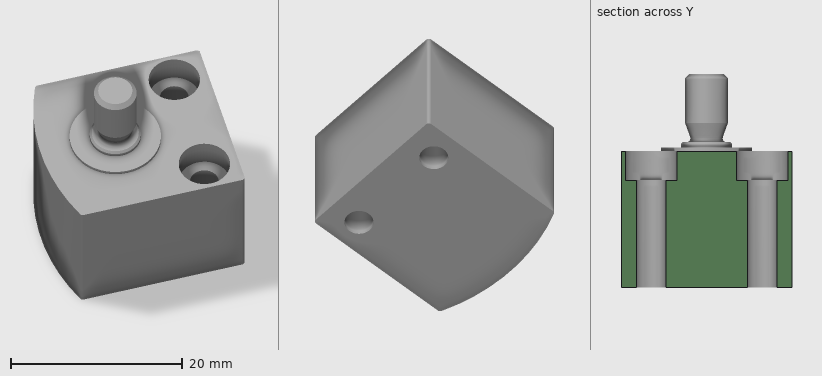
import cadquery as cq
import math

block_width = 20.0
block_length = 22.0
block_height = 16.0
front_to_stud = 9.0
front_radius = 25.0
corner_radius = 0.4

hole_diameter = 3.4
counterbore_diameter = 6.0
counterbore_depth = 3.4
hole_spacing = 13.0
hole_to_back = 4.0

total_height = 25.0
flange_diameter = 10.7
flange_height = 0.4
collar_diameter = 6.0
collar_top = 1.05
collar_chamfer = 0.25
neck_diameter = 3.8
neck_fillet = 0.38
cone_bottom = 1.6
cone_top = 3.25
cone_fillet = 0.38
edge_margin = 0.02
shank_diameter = 5.0
tip_chamfer = 0.5

front_y = -front_to_stud
back_y = front_y + block_length


def make_housing():
    half_width = block_width / 2
    front_rise = front_radius - math.sqrt(front_radius**2 - half_width**2)
    front_corner_y = front_y + front_rise
    block = (
        cq.Workplane("XY")
        .moveTo(-half_width, back_y)
        .lineTo(-half_width, front_corner_y)
        .threePointArc((0, front_y), (half_width, front_corner_y))
        .lineTo(half_width, back_y)
        .close()
        .extrude(block_height)
        .edges("|Z")
        .fillet(corner_radius)
    )
    hole_y = back_y - hole_to_back
    return (
        block.faces(">Z")
        .workplane(origin=(0, 0, block_height))
        .pushPoints([(side * hole_spacing / 2, hole_y) for side in (-1, 1)])
        .cboreHole(hole_diameter, counterbore_diameter, counterbore_depth)
    )


def make_stud():
    flange_radius = flange_diameter / 2
    collar_radius = collar_diameter / 2
    neck_radius = neck_diameter / 2
    shank_radius = shank_diameter / 2
    stud_height = total_height - block_height
    arc_inset = neck_fillet * (1 - math.sqrt(0.5))
    arc_middle = (neck_radius + arc_inset, collar_top + arc_inset)
    cone_edge_level = block_height + cone_bottom
    cone_edge = cq.selectors.BoxSelector(
        (-shank_radius, -shank_radius, cone_edge_level - edge_margin),
        (shank_radius, shank_radius, cone_edge_level + edge_margin),
        boundingbox=True,
    )
    return (
        cq.Workplane("XZ", origin=(0, 0, block_height))
        .lineTo(flange_radius, 0)
        .lineTo(flange_radius, flange_height)
        .lineTo(collar_radius, flange_height)
        .lineTo(collar_radius, collar_top - collar_chamfer)
        .lineTo(collar_radius - collar_chamfer, collar_top)
        .lineTo(neck_radius + neck_fillet, collar_top)
        .threePointArc(arc_middle, (neck_radius, collar_top + neck_fillet))
        .lineTo(neck_radius, cone_bottom)
        .lineTo(shank_radius, cone_top)
        .lineTo(shank_radius, stud_height - tip_chamfer)
        .lineTo(shank_radius - tip_chamfer, stud_height)
        .lineTo(0, stud_height)
        .close()
        .revolve(360, (0, 0, 0), (0, 1, 0))
        .edges(cone_edge)
        .fillet(cone_fillet)
    )


housing = make_housing()
stud = make_stud()

result = cq.Compound.makeCompound([housing.val(), stud.val()])